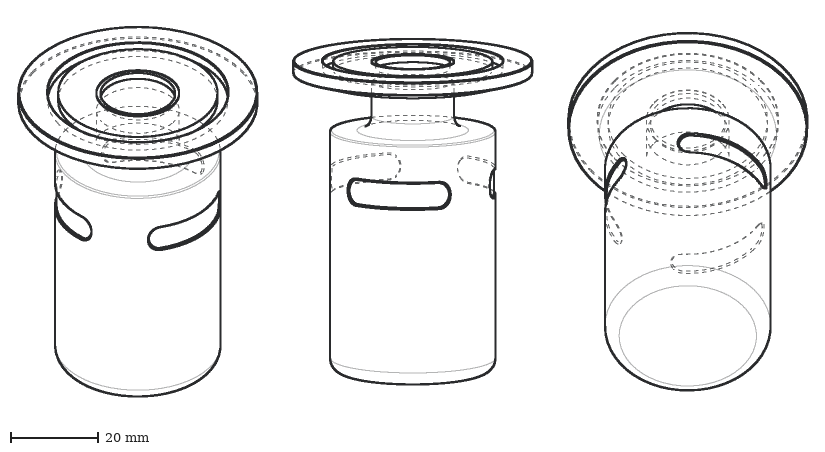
import cadquery as cq
import math

total_height = 72.5
flange_radius = 27.4
neck_radius = 9.5
body_radius = 2 * neck_radius

flange_rim_height = 3.1
flange_height = 5.0
flange_underside_radius = 20.3
flange_edge_chamfer = 0.2

centre_face_depth = 0.2
groove_outer_radius = 20.8
groove_inner_radius = 18.3
groove_depth = 2.25
groove_edge_chamfer = 0.15
recess_radius = 8.55
shelf_depth = 0.35
recess_depth = 1.95

body_height = 56.3
body_bottom_fillet = 3.25
body_top_fillet = 0.35
neck_flare_radius = 3.25

slot_count = 3
slot_first_angle = -90.0
slot_sweep = 80.5
slot_height = 6.4
slot_middle_z = 44.45
slot_depth = 0.35
cut_overshoot = 0.7

flange_bottom_z = total_height - flange_height
rim_bottom_z = total_height - flange_rim_height


def arc_point(center_x, center_z, radius, angle):
    """Point (x, z) on an arc about the given center, at the given angle in degrees."""
    direction = math.radians(angle)
    return (center_x + radius * math.cos(direction), center_z + radius * math.sin(direction))


def revolved_blank():
    """Body, flared neck and flange as one turned solid."""
    bottom_middle = arc_point(
        body_radius - body_bottom_fillet, body_bottom_fillet, body_bottom_fillet, -45
    )
    top_middle = arc_point(
        body_radius - body_top_fillet, body_height - body_top_fillet, body_top_fillet, 45
    )
    flare_middle = arc_point(
        neck_radius + neck_flare_radius, body_height + neck_flare_radius, neck_flare_radius, 225
    )
    return (
        cq.Workplane("XZ")
        .lineTo(body_radius - body_bottom_fillet, 0)
        .threePointArc(bottom_middle, (body_radius, body_bottom_fillet))
        .lineTo(body_radius, body_height - body_top_fillet)
        .threePointArc(top_middle, (body_radius - body_top_fillet, body_height))
        .lineTo(neck_radius + neck_flare_radius, body_height)
        .threePointArc(flare_middle, (neck_radius, body_height + neck_flare_radius))
        .lineTo(neck_radius, flange_bottom_z)
        .lineTo(flange_underside_radius, flange_bottom_z)
        .lineTo(flange_radius - flange_edge_chamfer, rim_bottom_z)
        .lineTo(flange_radius, rim_bottom_z + flange_edge_chamfer)
        .lineTo(flange_radius, total_height - flange_edge_chamfer)
        .lineTo(flange_radius - flange_edge_chamfer, total_height)
        .lineTo(0, total_height)
        .close()
        .revolve(360, (0, 0, 0), (0, 1, 0))
    )


def flange_face_recess():
    """Cutter for the ring groove, the sunken face inside it, the shelf and the blind centre recess."""
    groove_wall_radius = groove_outer_radius - groove_edge_chamfer
    centre_face_z = total_height - centre_face_depth
    shelf_z = total_height - shelf_depth
    groove_floor_z = total_height - groove_depth
    recess_floor_z = total_height - recess_depth
    return (
        cq.Workplane("XZ")
        .moveTo(0, recess_floor_z)
        .lineTo(recess_radius, recess_floor_z)
        .lineTo(recess_radius, shelf_z)
        .lineTo(neck_radius, shelf_z)
        .lineTo(neck_radius, centre_face_z)
        .lineTo(groove_inner_radius, centre_face_z)
        .lineTo(groove_inner_radius, groove_floor_z)
        .lineTo(groove_wall_radius, groove_floor_z)
        .lineTo(groove_wall_radius, total_height - groove_edge_chamfer)
        .lineTo(groove_outer_radius, total_height)
        .lineTo(0, total_height)
        .close()
        .revolve(360, (0, 0, 0), (0, 1, 0))
    )


def slot_cutters():
    """Cutter for all slots: sides slope at 45 degrees, floor is concentric with the body."""
    floor_radius = body_radius - slot_depth
    outer_radius = body_radius + cut_overshoot
    root_radius = floor_radius - cut_overshoot
    half_height = slot_height / 2
    root_half_height = half_height - (body_radius - root_radius)
    outer_half_height = half_height + cut_overshoot
    end_angle = slot_sweep / 2 - math.degrees(math.asin(half_height / body_radius))

    straight_part = (
        cq.Workplane("XZ")
        .moveTo(root_radius, slot_middle_z - root_half_height)
        .lineTo(outer_radius, slot_middle_z - outer_half_height)
        .lineTo(outer_radius, slot_middle_z + outer_half_height)
        .lineTo(root_radius, slot_middle_z + root_half_height)
        .close()
        .revolve(2 * end_angle, (0, 0, 0), (0, 1, 0))
        .rotate((0, 0, 0), (0, 0, 1), -end_angle)
    )
    round_end = cq.Workplane(
        cq.Solid.makeCone(
            root_half_height,
            outer_half_height,
            outer_radius - root_radius,
            pnt=cq.Vector(root_radius, 0, slot_middle_z),
            dir=cq.Vector(1, 0, 0),
        )
    )
    slot = straight_part
    for angle in (-end_angle, end_angle):
        slot = slot.union(round_end.rotate((0, 0, 0), (0, 0, 1), angle))

    floor_core = cq.Workplane("XY").circle(floor_radius).extrude(total_height)
    slot = slot.cut(floor_core)

    cutters = cq.Workplane("XY")
    for index in range(slot_count):
        angle = slot_first_angle + index * 360 / slot_count
        cutters = cutters.add(slot.rotate((0, 0, 0), (0, 0, 1), angle))
    return cutters.combine()


result = revolved_blank().cut(flange_face_recess()).cut(slot_cutters())